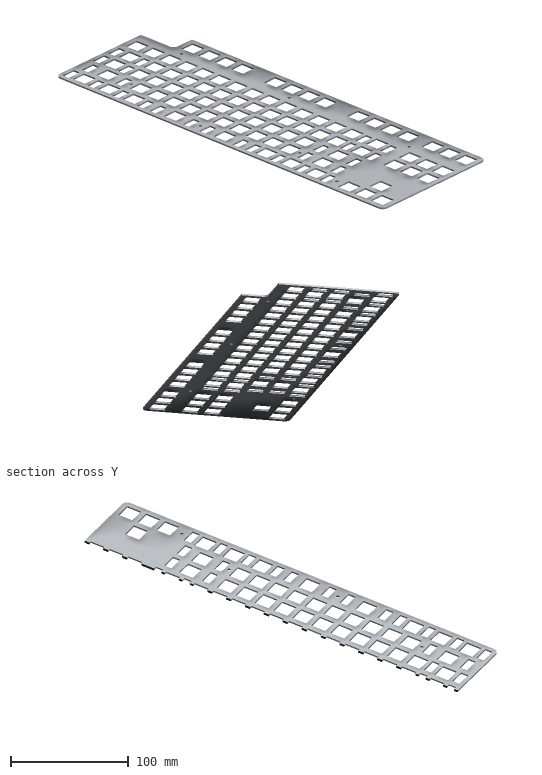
import cadquery as cq


LENGTH = 376.5
THICKNESS = 1.5
EDGE_MARGIN = 2.45
KEY_COLUMNS = 19.5
KEY_ROWS = 6.5
PITCH = (LENGTH - 2 * EDGE_MARGIN) / KEY_COLUMNS
DEPTH = KEY_ROWS * PITCH + 2 * EDGE_MARGIN

NOTCH_LENGTH = 38.0
NOTCH_DEPTH = 22.5
CORNER_RADIUS = 5.0

SWITCH_SIZE = 14.0
STABILIZER_WIDTH = 7.0
STABILIZER_HEIGHT = 14.0
STABILIZER_DROP = 1.0
SCREW_DIAMETER = 3.0

FUNCTION_ROW = 0
NUMBER_ROW = 1.5
TAB_ROW = 2.5
CAPS_ROW = 3.5
SHIFT_ROW = 4.5
BOTTOM_ROW = 5.5
SCREW_ROW = (FUNCTION_ROW + NUMBER_ROW) / 2

DOUBLE_KEY_REACH = 0.75
TRIPLE_KEY_REACH = 1

NAVIGATION_COLUMNS = [16.5, 17.5, 18.5]
ARROW_UP_COLUMN = 17.5
SINGLE_KEYS = {
    FUNCTION_ROW: [*range(2, 6), *range(7, 11), *range(12, 16), *NAVIGATION_COLUMNS],
    NUMBER_ROW: [*range(0, 14), *NAVIGATION_COLUMNS],
    TAB_ROW: [*range(2, 14), *NAVIGATION_COLUMNS],
    CAPS_ROW: [*range(2, 13)],
    SHIFT_ROW: [*range(3, 13), ARROW_UP_COLUMN],
    BOTTOM_ROW: [2, 13, *NAVIGATION_COLUMNS],
}
DOUBLE_KEYS = {
    NUMBER_ROW: [14.5],
    TAB_ROW: [0.5, 14.5],
    CAPS_ROW: [0.5],
    BOTTOM_ROW: [0.5, 3.5, 11.5, 14.5],
}
TRIPLE_KEYS = {
    CAPS_ROW: [14],
    SHIFT_ROW: [1, 14],
    BOTTOM_ROW: [6, 9],
}
SCREW_COLUMNS = {
    SCREW_ROW: [2, 8.5, 15.75],
    SHIFT_ROW: [2.4, 12.6],
    BOTTOM_ROW: [7.5, 15.75],
}


def layout_points(columns_by_row, column_shift=0.0):
    """Plate coordinates of layout positions, with the plate centred on the origin."""
    first_x = -LENGTH / 2 + EDGE_MARGIN + PITCH / 2
    first_y = DEPTH / 2 - EDGE_MARGIN - PITCH / 2
    return [
        (first_x + (column + column_shift) * PITCH, first_y - row * PITCH)
        for row, columns in columns_by_row.items()
        for column in columns
    ]


def make_sheet():
    """Flat sheet, notched at the back left, where the two outward corners stay sharp."""
    left, right = -LENGTH / 2, LENGTH / 2
    front, back = -DEPTH / 2, DEPTH / 2
    notch_x = left + NOTCH_LENGTH
    notch_y = back - NOTCH_DEPTH
    sheet = (
        cq.Workplane("XY")
        .polyline([
            (left, front), (right, front), (right, back),
            (notch_x, back), (notch_x, notch_y), (left, notch_y),
        ])
        .close()
        .extrude(THICKNESS)
    )
    front_and_right = "|Z and (>X or <Y)"
    sheet = sheet.edges(front_and_right).fillet(CORNER_RADIUS)
    notch_corner = cq.selectors.NearestToPointSelector((notch_x, notch_y, THICKNESS / 2))
    return sheet.edges("|Z").edges(notch_corner).fillet(CORNER_RADIUS)


def cut_switches(plate):
    """Square opening under every key."""
    for keys in (SINGLE_KEYS, DOUBLE_KEYS, TRIPLE_KEYS):
        plate = (
            plate.pushPoints(layout_points(keys))
            .rect(SWITCH_SIZE, SWITCH_SIZE)
            .cutThruAll()
        )
    return plate


def cut_stabilizers(plate):
    """Narrow opening on both sides of every wide key."""
    for keys, reach in ((DOUBLE_KEYS, DOUBLE_KEY_REACH), (TRIPLE_KEYS, TRIPLE_KEY_REACH)):
        for shift in (-reach, reach):
            centres = [(x, y - STABILIZER_DROP) for x, y in layout_points(keys, shift)]
            plate = (
                plate.pushPoints(centres)
                .rect(STABILIZER_WIDTH, STABILIZER_HEIGHT)
                .cutThruAll()
            )
    return plate


def drill_screw_holes(plate):
    return (
        plate.pushPoints(layout_points(SCREW_COLUMNS))
        .circle(SCREW_DIAMETER / 2)
        .cutThruAll()
    )


plate = make_sheet().faces(">Z").workplane(origin=(0, 0, THICKNESS))
plate = cut_switches(plate)
plate = cut_stabilizers(plate)
result = drill_screw_holes(plate)